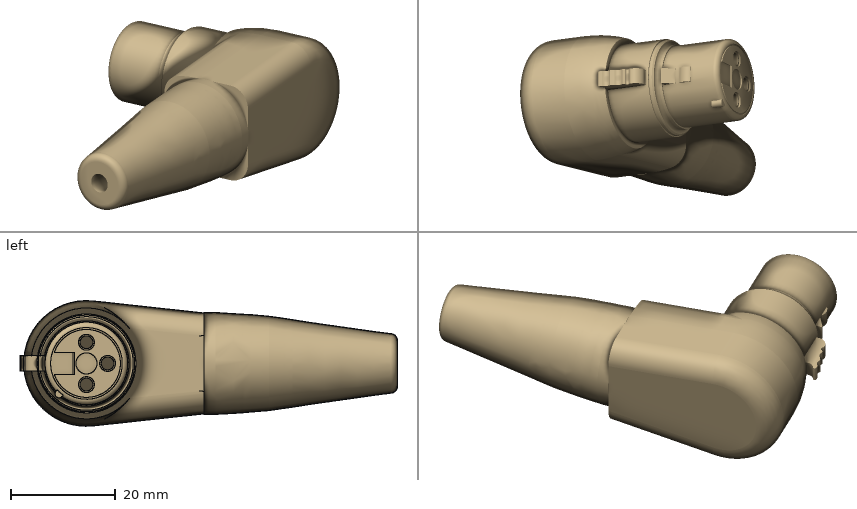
import cadquery as cq
import math


overall_length = 72.0

housing_radius = 24.0 / 2
housing_flange_radius = 10.6
housing_front_x = -9.6
housing_back_x = 9.6
housing_flat_start_x = -1.5
housing_back_round = 4.0
housing_front_round = 4.0
housing_end_y = -22.5
taper_angle = 6.2
half_overlap = 2.9
arm_stock_length = 28.8

face_x = -32.5
barrel_radius = 15.8 / 2
barrel_round = 1.0
step_x = -20.5
step_radius = 8.15
collar_x = -19.2
collar_fillet = 0.6
collar_radius = 9.2
sleeve_x = -18.3
sleeve_radius = 9.4
edge_chamfer = 0.3

face_detail_depth = 0.2
groove_outer_radius = 6.85
groove_inner_radius = 6.5
key_width = 4.25
key_inner_y = 2.3
key_ledge_width = 0.2
key_ledge_depth = 0.11
medallion_radius = 2.0
medallion_depth = 0.3
socket_mouth_radius = 1.5
socket_mouth_depth = 0.35
socket_radius = 1.2
socket_pitch_radius = 4.0
socket_depth = 7.2
socket_angles = (-90, 0, 90)

latch_width = 2.95
latch_top_y = 12.7
latch_root_y = 7.2
button_front_x = -17.7
bump_front_x = -26.65
bump_length = 2.45
bump_height = 0.35
catch_front_x = -23.3
catch_back_x = -20.9
catch_top_y = 9.15
catch_flat_length = 0.3
post_radius = 0.8
post_pitch_radius = 7.8
post_angle = 228
post_front_gap = 0.2
post_length = 2.15

boot_end_y = latch_top_y - overall_length
boot_radius = 9.7
boot_band_length = 2.2
boot_waist_y = -34.85
boot_waist_radius = 9.0
boot_waist_bulge = 0.1
boot_neck_y = -39.3
boot_neck_radius = 8.35
boot_neck_bulge = 0.02
boot_tip_radius = 5.7
boot_tip_round = 1.4
cable_hole_radius = 1.9
cable_hole_depth = 7.2

round_inset = 1 - math.cos(math.pi / 4)

crown_run = housing_flat_start_x - housing_front_x
crown_drop = housing_radius - housing_flange_radius
crown_radius = (crown_run**2 + crown_drop**2) / (2 * crown_drop)
half_sweep = math.asin(crown_run / crown_radius) / 2
crown_mid = (
    housing_flat_start_x - crown_radius * math.sin(half_sweep),
    housing_radius - crown_radius * (1 - math.cos(half_sweep)),
)
back_round_start_x = housing_back_x - housing_back_round
back_round_mid = (
    housing_back_x - housing_back_round * round_inset,
    housing_radius - housing_back_round * round_inset,
)


def housing_section(plane, base):
    """Closed section of the housing from a base level up to its crown."""
    return (
        cq.Workplane(plane)
        .moveTo(housing_front_x, base)
        .lineTo(housing_front_x, housing_flange_radius)
        .threePointArc(crown_mid, (housing_flat_start_x, housing_radius))
        .lineTo(back_round_start_x, housing_radius)
        .threePointArc(back_round_mid, (housing_back_x, housing_radius - housing_back_round))
        .lineTo(housing_back_x, base)
        .close()
    )


def make_arm():
    """Tapering arm towards the cable: an upper half tilted inwards, and its mirror image."""
    upper = housing_section("XZ", -half_overlap).extrude(arm_stock_length)
    front_edge_mid = (housing_front_x, -arm_stock_length / 2, housing_flange_radius)
    front_edge = cq.selectors.NearestToPointSelector(front_edge_mid)
    upper = upper.edges(front_edge).fillet(housing_front_round)
    upper = upper.rotate((0, 0, 0), (1, 0, 0), taper_angle)
    trim_side = 4 * housing_radius
    trim = cq.Workplane("XZ", origin=(0, housing_end_y, 0)).rect(trim_side, trim_side)
    upper = upper.cut(trim.extrude(arm_stock_length))
    return upper.union(upper.mirror("XY"))


def make_housing():
    elbow = housing_section("XY", 0).revolve(360, (0, 0, 0), (1, 0, 0))
    return elbow.union(make_arm())


def make_barrel():
    """Stepped connector body turned about X."""
    round_mid = (
        face_x + barrel_round * round_inset,
        barrel_radius - barrel_round * round_inset,
    )
    fillet_mid = (
        collar_x - collar_fillet * round_inset,
        step_radius + collar_fillet * round_inset,
    )
    return (
        cq.Workplane("XY")
        .moveTo(face_x, 0)
        .lineTo(face_x, barrel_radius - barrel_round)
        .threePointArc(round_mid, (face_x + barrel_round, barrel_radius))
        .lineTo(step_x, barrel_radius)
        .lineTo(step_x, step_radius)
        .lineTo(collar_x - collar_fillet, step_radius)
        .threePointArc(fillet_mid, (collar_x, step_radius + collar_fillet))
        .lineTo(collar_x, collar_radius - edge_chamfer)
        .lineTo(collar_x + edge_chamfer, collar_radius)
        .lineTo(sleeve_x, collar_radius)
        .lineTo(sleeve_x, sleeve_radius)
        .lineTo(housing_front_x, sleeve_radius)
        .lineTo(housing_front_x, 0)
        .close()
        .revolve(360, (0, 0, 0), (1, 0, 0))
    )


def on_face():
    """Workplane on the connector face: local x is Y, local y is Z, extrusion goes into the body."""
    return cq.Workplane("YZ", origin=(face_x, 0, 0))


def polar_yz(radius, angle):
    """Y and Z of a point around the connector axis, with angles running from -Y towards +Z."""
    return (-radius * math.cos(math.radians(angle)), radius * math.sin(math.radians(angle)))


def make_key_cut(inner_y, depth):
    """Key slot from an inner edge out to the ring groove."""
    length = groove_outer_radius - inner_y
    slot = on_face().center(inner_y + length / 2, 0).rect(length, key_width).extrude(depth)
    return slot.intersect(on_face().circle(groove_outer_radius).extrude(depth))


def make_face_cuts():
    """Ring groove, stepped key slot, round centre recess and contact sockets."""
    groove = on_face().circle(groove_outer_radius).circle(groove_inner_radius)
    cuts = groove.extrude(face_detail_depth)
    cuts = cuts.union(make_key_cut(key_inner_y, key_ledge_depth))
    cuts = cuts.union(make_key_cut(key_inner_y + key_ledge_width, face_detail_depth))
    cuts = cuts.union(on_face().circle(medallion_radius).extrude(medallion_depth))
    for angle in socket_angles:
        socket = on_face().center(*polar_yz(socket_pitch_radius, angle))
        cuts = cuts.union(socket.circle(socket_mouth_radius).extrude(socket_mouth_depth))
        cuts = cuts.union(socket.circle(socket_radius).extrude(socket_depth))
    return cuts


def make_latch():
    """Push button with a scalloped thumb surface, and the bump and catch ahead of it on the barrel."""
    plane = cq.Workplane("XY")
    button = (
        plane.moveTo(button_front_x, latch_root_y)
        .lineTo(button_front_x, 10.2)
        .threePointArc((-17.1, 11.3), (-15.85, 11.75))
        .lineTo(-15.4, 11.7)
        .threePointArc((-15.0, 11.4), (-14.55, 11.75))
        .lineTo(-14.1, 12.0)
        .threePointArc((-13.25, 11.8), (-12.45, 12.2))
        .lineTo(-11.75, 12.5)
        .threePointArc((-11.0, 12.25), (-10.3, 12.45))
        .lineTo(-10.0, latch_top_y)
        .lineTo(-9.4, latch_top_y)
        .threePointArc((-9.1, 12.45), (-9.2, 12.0))
        .threePointArc((-9.9, 11.5), (-10.0, 10.2))
        .lineTo(housing_front_x, sleeve_radius)
        .lineTo(housing_front_x, latch_root_y)
        .close()
        .extrude(latch_width / 2, both=True)
    )
    bump_back_x = bump_front_x + bump_length
    bump_crest = (bump_front_x + bump_length / 2, barrel_radius + bump_height)
    bump = (
        plane.moveTo(bump_front_x, latch_root_y)
        .lineTo(bump_front_x, barrel_radius)
        .threePointArc(bump_crest, (bump_back_x, barrel_radius))
        .lineTo(bump_back_x, latch_root_y)
        .close()
        .extrude(latch_width / 2, both=True)
    )
    catch = (
        plane.moveTo(catch_front_x, latch_root_y)
        .lineTo(catch_front_x, barrel_radius)
        .lineTo(catch_back_x - catch_flat_length, catch_top_y)
        .lineTo(catch_back_x, catch_top_y)
        .lineTo(catch_back_x, latch_root_y)
        .close()
        .extrude(latch_width / 2, both=True)
    )
    return button.union(bump).union(catch)


def make_post():
    """Small index post lying along the barrel near the connector face."""
    y, z = polar_yz(post_pitch_radius, post_angle)
    return (
        cq.Workplane("YZ", origin=(face_x + post_front_gap, y, z))
        .circle(post_radius)
        .extrude(post_length)
    )


def make_boot():
    """Tapering cable boot turned about Y, with a blind cable hole in its tip."""
    band_end_y = housing_end_y - boot_band_length
    tip_start_y = boot_end_y + boot_tip_round
    waist_mid = ((boot_radius + boot_waist_radius) / 2 + boot_waist_bulge, (band_end_y + boot_waist_y) / 2)
    neck_mid = ((boot_waist_radius + boot_neck_radius) / 2 + boot_neck_bulge, (boot_waist_y + boot_neck_y) / 2)
    tip_inset = boot_tip_round * round_inset
    tip_mid = (boot_tip_radius - tip_inset, boot_end_y + tip_inset)
    boot = (
        cq.Workplane("XY")
        .moveTo(0, housing_end_y)
        .lineTo(boot_radius, housing_end_y)
        .lineTo(boot_radius, band_end_y)
        .threePointArc(waist_mid, (boot_waist_radius, boot_waist_y))
        .threePointArc(neck_mid, (boot_neck_radius, boot_neck_y))
        .lineTo(boot_tip_radius, tip_start_y)
        .threePointArc(tip_mid, (boot_tip_radius - boot_tip_round, boot_end_y))
        .lineTo(0, boot_end_y)
        .close()
        .revolve(360, (0, 0, 0), (0, 1, 0))
    )
    hole = (
        cq.Workplane("XZ", origin=(0, boot_end_y, 0))
        .circle(cable_hole_radius)
        .extrude(-cable_hole_depth)
    )
    return boot.cut(hole)


body = make_housing().union(make_barrel()).union(make_boot())
result = body.union(make_latch()).union(make_post()).cut(make_face_cuts())